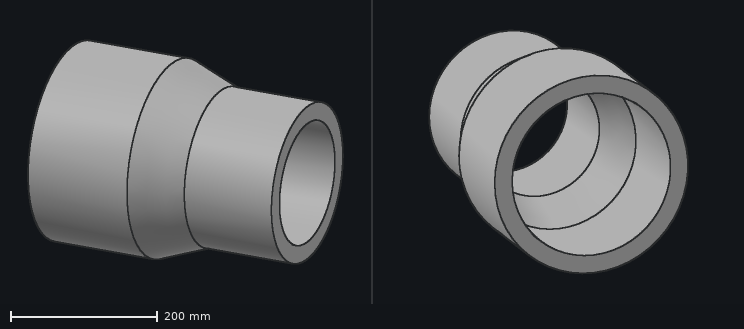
import cadquery as cq
import math

total_length = 357.0
large_length = 150.5
small_length = 132.5
large_outer_diameter = 280.0
small_outer_diameter = 225.0
wall_thickness = 25.5

outer_taper_start = large_length
outer_taper_end = total_length - small_length

taper_drop = (large_outer_diameter - small_outer_diameter) / 2
taper_angle = math.atan2(taper_drop, outer_taper_end - outer_taper_start)
bore_taper_shift = wall_thickness * math.tan(taper_angle / 2)


def reducer_solid(large_diameter, small_diameter, taper_start, taper_end):
    """Solid of revolution: large cylinder, conical taper, small cylinder."""
    large_radius = large_diameter / 2
    small_radius = small_diameter / 2
    return (
        cq.Workplane("XY")
        .moveTo(0, 0)
        .lineTo(0, large_radius)
        .lineTo(taper_start, large_radius)
        .lineTo(taper_end, small_radius)
        .lineTo(total_length, small_radius)
        .lineTo(total_length, 0)
        .close()
        .revolve(360, (0, 0, 0), (1, 0, 0))
    )


outer_body = reducer_solid(
    large_outer_diameter,
    small_outer_diameter,
    outer_taper_start,
    outer_taper_end,
)
bore = reducer_solid(
    large_outer_diameter - 2 * wall_thickness,
    small_outer_diameter - 2 * wall_thickness,
    outer_taper_start - bore_taper_shift,
    outer_taper_end - bore_taper_shift,
)

result = outer_body.cut(bore)